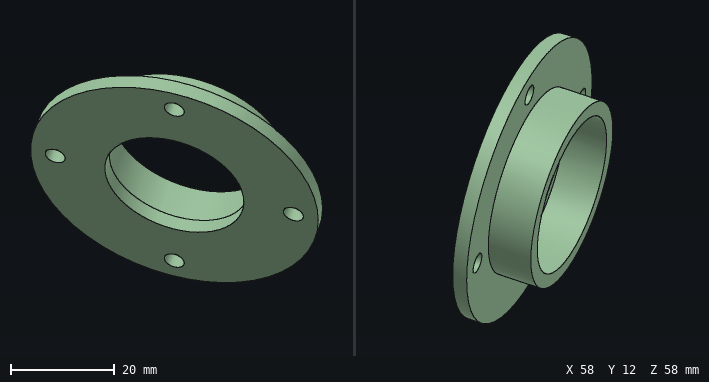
import cadquery as cq

flange_diameter = 58.0
flange_thickness = 3.0

hub_diameter = 38.0
total_depth = 12.0

flange_bore_diameter = 28.0
hub_bore_diameter = 32.0

hole_diameter = 4.0
hole_circle_diameter = 48.0
hole_count = 4


def cylinder_along_y(diameter, y_start, y_end):
    """Solid cylinder on the Y axis between two Y positions."""
    plane = cq.Workplane("XZ", origin=(0, y_start, 0))
    return plane.circle(diameter / 2).extrude(y_start - y_end)


def make_body():
    flange = cylinder_along_y(flange_diameter, 0, flange_thickness)
    hub = cylinder_along_y(hub_diameter, 0, total_depth)
    return flange.union(hub)


def make_bore():
    narrow = cylinder_along_y(flange_bore_diameter, 0, total_depth)
    wide = cylinder_along_y(hub_bore_diameter, flange_thickness, total_depth)
    return narrow.union(wide)


def make_mounting_holes():
    return (
        cq.Workplane("XZ")
        .polarArray(hole_circle_diameter / 2, 0, 360, hole_count)
        .circle(hole_diameter / 2)
        .extrude(-flange_thickness)
    )


result = make_body().cut(make_bore()).cut(make_mounting_holes())